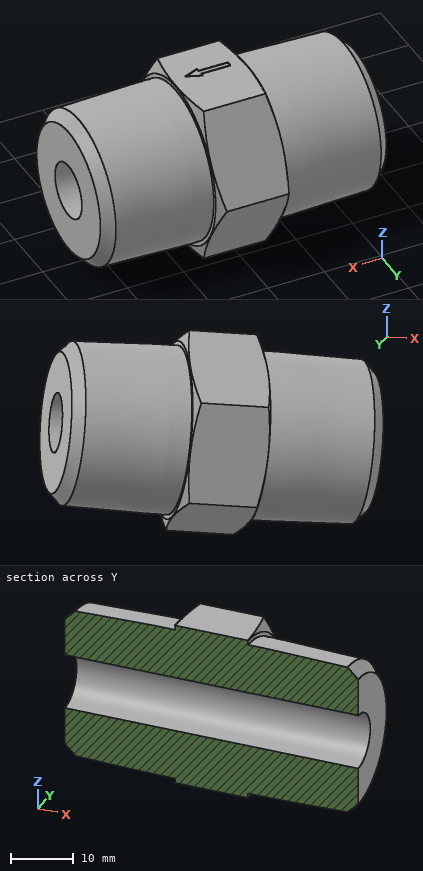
import cadquery as cq
import math

length = 50.8
bore_diameter = 9.525

hex_width = 12.7
hex_across_flats = 28.575
hex_half_sector = 180 / 6
hex_across_corners = hex_across_flats / math.cos(math.radians(hex_half_sector))
hex_chamfer_angle = 20
hex_face_diameter = 28.4

shank_diameter = 27.0
shank_end = 9.93
end_chamfer_length = 1.85
taper_end_diameter = 26.3
end_face_diameter = 22.65

arrow_start = -4.0
arrow_head_start = 1.2
arrow_tip = 3.75
arrow_centre_y = -1.75
arrow_shaft_width = 0.9
arrow_head_width = 2.0
arrow_depth = 0.1

half_length = length / 2
taper_end = half_length - end_chamfer_length


def revolve_about_x(profile):
    """Revolve a closed (x, radius) profile a full turn about the X axis."""
    return cq.Workplane("XZ").polyline(profile).close().revolve(360, (0, 0, 0), (1, 0, 0))


def make_body():
    """Round body with both tapered ends."""
    right_half = [
        (shank_end, shank_diameter / 2),
        (taper_end, taper_end_diameter / 2),
        (half_length, end_face_diameter / 2),
        (half_length, 0),
    ]
    left_half = [(-x, radius) for x, radius in reversed(right_half)]
    return revolve_about_x(left_half + right_half)


def make_hex():
    """Hexagon with flats facing up and down and chamfered corners on both sides."""
    prism = (
        cq.Workplane("YZ")
        .polygon(6, hex_across_corners)
        .extrude(hex_width / 2, both=True)
    )
    corner_radius = hex_across_corners / 2
    face_radius = hex_face_diameter / 2
    half_width = hex_width / 2
    setback = (corner_radius - face_radius) * math.tan(math.radians(hex_chamfer_angle))
    chamfer_envelope = revolve_about_x([
        (-half_width, 0),
        (-half_width, face_radius),
        (-half_width + setback, corner_radius),
        (half_width - setback, corner_radius),
        (half_width, face_radius),
        (half_width, 0),
    ])
    return prism.intersect(chamfer_envelope)


def make_bore():
    """Through bore along the axis."""
    return cq.Workplane("YZ").circle(bore_diameter / 2).extrude(half_length, both=True)


def make_flow_arrow():
    """Arrow-shaped cutter reaching just below the top flat of the hexagon."""
    lower_side = [
        (arrow_start, -arrow_shaft_width / 2),
        (arrow_head_start, -arrow_shaft_width / 2),
        (arrow_head_start, -arrow_head_width / 2),
    ]
    upper_side = [(x, -y) for x, y in reversed(lower_side)]
    return (
        cq.Workplane("XY", origin=(0, arrow_centre_y, hex_across_flats / 2))
        .polyline(lower_side + [(arrow_tip, 0)] + upper_side)
        .close()
        .extrude(-arrow_depth)
    )


result = make_body().union(make_hex()).cut(make_bore()).cut(make_flow_arrow())